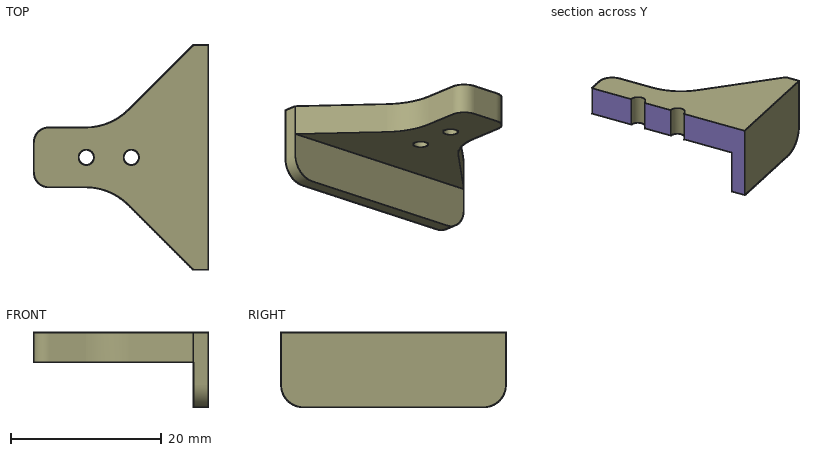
import cadquery as cq

length = 23.25
width = 30.0
height = 10.0
plate_thickness = 4.0
flange_thickness = 2.0
flange_corner_radius = 3.0
tab_width = 8.0
tab_corner_radius = 2.0
neck_radius = 8.0
hole_diameter = 2.0
first_hole_x = 7.0
hole_spacing = 6.0

flange_front_x = length - flange_thickness
half_width = width / 2
half_tab = tab_width / 2
neck_x = flange_front_x - (half_width - half_tab)
plate_bottom_z = height - plate_thickness


def make_plate():
    """Top plate: narrow tab flaring at 45 degrees to the full flange width."""
    outline = [
        (0, -half_tab),
        (neck_x, -half_tab),
        (flange_front_x, -half_width),
        (length, -half_width),
        (length, half_width),
        (flange_front_x, half_width),
        (neck_x, half_tab),
        (0, half_tab),
    ]
    plate = (
        cq.Workplane("XY")
        .workplane(offset=plate_bottom_z)
        .polyline(outline)
        .close()
        .extrude(plate_thickness)
    )
    plate = plate.faces("<X").edges("|Z").fillet(tab_corner_radius)
    for side in (-1, 1):
        neck_point = (neck_x, side * half_tab, plate_bottom_z + plate_thickness / 2)
        neck_edge = cq.selectors.NearestToPointSelector(neck_point)
        plate = plate.edges("|Z").edges(neck_edge).fillet(neck_radius)
    return plate


def make_flange():
    """Upright flange across the full width, with rounded lower corners."""
    flange = (
        cq.Workplane("XY")
        .box(flange_thickness, width, height, centered=(False, True, False))
        .translate((flange_front_x, 0, 0))
    )
    return flange.faces("<Z").edges("|X").fillet(flange_corner_radius)


def make_holes():
    """Through holes along the centre line of the plate."""
    centres = [(first_hole_x, 0), (first_hole_x + hole_spacing, 0)]
    return cq.Workplane("XY").pushPoints(centres).circle(hole_diameter / 2).extrude(height)


result = make_plate().union(make_flange()).cut(make_holes())